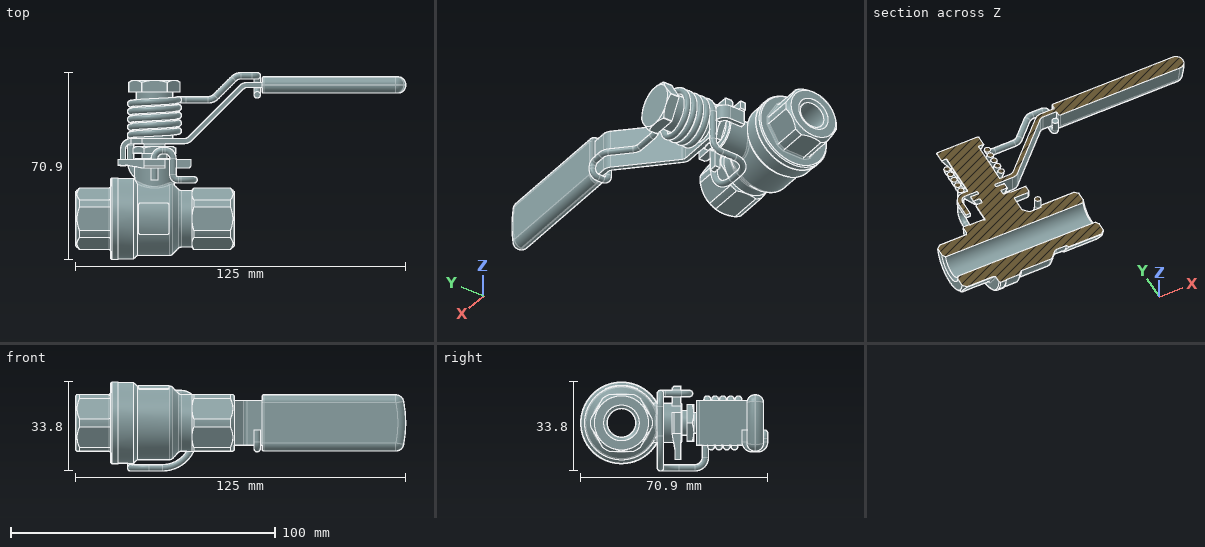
import cadquery as cq
import math


INLET_X = -29.9
FLANGE_X = -16.6
FLANGE_STEP_X = -13.8
FLANGE_END_X = -8.0
BARREL_X = -6.5
BARREL_END_X = 6.4
NECK_X = 9.5
OUTLET_HEX_X = 14.1
OUTLET_X = 30.2
FLANGE_DIA = 31.0
FLANGE_STEP_DIA = 30.6
FLANGE_CHAMFER = 0.5
BARREL_DIA = 28.0
SHOULDER_ROUND = 1.5
NECK_DIA = 21.5
BORE_DIA = 10.8
BORE_MOUTH_DIA = 13.5
BORE_MOUTH_DEPTH = 0.9
END_HEX_FLATS = 21.6
END_HEX_CORNER_DIA = 23.4
END_HEX_FACE_DIA = 20.5
END_HEX_CHAMFER = 1.5
OUTLET_HEX_BACK_CHAMFER = 0.8
INLET_HEX_FILLET = 0.6
SELECT_MARGIN = 0.1
PAD_X = -0.2
PAD_LENGTH = 11.5
PAD_WIDTH = 12.0
PAD_HEIGHT = 0.2
PAD_CORNER = 0.8

TOWER_DIA = 15.0
TOWER_TOP = 22.9
TOWER_CHAMFER = 0.4
TOWER_FILLET = 0.8
NUT_SEAT_DIA = 9.5
NUT_BOTTOM = 24.8
NUT_TOP = 27.4
NUT_FLATS = 14.0
STEM_DIA = 8.0
SPOOL_DIA = 14.0
HEAD_BOTTOM = 47.9
HEAD_TOP = 52.4
HEAD_FLATS = 17.0
CORNER_CONE_ANGLE = 30
HEAD_CORNER_DIA = 19.5

PLATE_TOP = 22.5
PLATE_THICKNESS = 3.4
ARM_REACH = 13.9
WIDE_ARM_WIDTH = 8.0
WIDE_ARM_CHAMFER = 0.8
STOP_ARM_TIP_THICKNESS = 2.2
STOP_ARM_INNER = 3.0
STOP_ARM_OUTER = 6.4
STOP_ARM_TAPER_END = 10.5
STOP_ARM_TAPER_START = 4.0
WIRE_HOLE_DIA = 3.0

LEVER_THICKNESS = 2.0
LEVER_WIDTH = 17.0
LEVER_BOTTOM = 28.4
LEVER_TOP = LEVER_BOTTOM + LEVER_THICKNESS
LEVER_RISE = 21.2
LEVER_BEND_ANGLE = 45
LEVER_BEND_X = 12.1
LEVER_INNER_BEND = 2.0
LEVER_OUTER_BEND = LEVER_INNER_BEND + LEVER_THICKNESS
SHOULDER_X = -4.8
TAB_WIDTH = 6.0
TAB_ROOT_X = -8.9
TAB_OUTER_RADIUS = 4.0
TAB_BOTTOM = 20.0

GRIP_X = 40.8
GRIP_END_X = 95.1
GRIP_CROWN = 1.4
GRIP_WIDTH = 21.4
GRIP_THICKNESS = 6.2
GRIP_ROUND = 3.0
GRIP_CORNER = 3.1
GRIP_MOUTH_ROUND = 0.6

WIRE_DIA = 2.5
COIL_RADIUS = 9.0
COIL_TURNS = 4.5
COIL_GAP = 0.1
COIL_START_Y = LEVER_TOP + COIL_GAP + WIRE_DIA / 2
COIL_END_Y = 45.0
LOOP_LOW_Z = -17.0
LOOP_HIGH_Z = 11.1
LOOP_Y = 14.8
LOOP_X = 15.0
U_BEND_X = 7.0
U_BEND_TOP = 25.8
LOOP_BENDS = (4.0, 7.0, 12.0, 5.0, 2.0, 3.0, 3.0)
ARM_START_X = 9.0
ARM_Z = -3.9
ARM_KICK_X = 22.0
ARM_TOP_Y = 54.1
HOOK_X = 38.9
HOOK_EDGE_Z = -9.8
HOOK_BOTTOM_Y = 46.9
HOOK_TIP_Z = -2.6
ARM_BENDS = (3.0, 4.0, 4.0, 2.0, 2.5, 2.5)


def along_x(x, dia, length):
    """Cylinder about the flow axis, starting at x."""
    return cq.Workplane("YZ", origin=(x, 0, 0)).circle(dia / 2).extrude(length)


def along_y(dia, bottom, top):
    """Cylinder about the stem axis between two heights."""
    return cq.Workplane("XZ", origin=(0, bottom, 0)).circle(dia / 2).extrude(bottom - top)


def hexagon_along_y(flats, bottom, top):
    """Hexagon about the stem axis, corners on X, its top corners turned to a cone."""
    corner_radius = flats / math.sqrt(3)
    flat_radius = flats / 2
    plane = cq.Workplane("XZ", origin=(0, bottom, 0))
    prism = plane.polygon(6, 2 * corner_radius).extrude(bottom - top)
    drop = (corner_radius - flat_radius) * math.tan(math.radians(CORNER_CONE_ANGLE))
    half_section = [
        (0, bottom),
        (corner_radius, bottom),
        (corner_radius, top - drop),
        (flat_radius, top),
        (0, top),
    ]
    turned = cq.Workplane("XY").polyline(half_section).close().revolve(360, (0, 0), (0, 1))
    return prism.intersect(turned)


def end_hexagon(start, end):
    """Hexagonal prism about X with flats on +Z and -Z, and the cylinder that rounds its corners."""
    across_corners = END_HEX_FLATS * 2 / math.sqrt(3)
    prism = cq.Workplane("YZ", origin=(start, 0, 0)).polygon(6, across_corners).extrude(end - start)
    return prism, along_x(start, END_HEX_CORNER_DIA, end - start)


def inlet_hexagon():
    prism, turned = end_hexagon(INLET_X, FLANGE_X)
    face_drop = (END_HEX_CORNER_DIA - END_HEX_FACE_DIA) / 2
    return prism.intersect(turned.faces("<X").chamfer(END_HEX_CHAMFER, face_drop))


def outlet_hexagon():
    prism, turned = end_hexagon(OUTLET_HEX_X, OUTLET_X)
    face_drop = (END_HEX_CORNER_DIA - END_HEX_FACE_DIA) / 2
    back_drop = (END_HEX_CORNER_DIA - NECK_DIA) / 2
    turned = turned.faces(">X").chamfer(END_HEX_CHAMFER, face_drop)
    return prism.intersect(turned.faces("<X").chamfer(OUTLET_HEX_BACK_CHAMFER, back_drop))


def make_barrel():
    """Flange, barrel and neck, with the tower rising from the barrel."""
    flange_radius = FLANGE_DIA / 2
    profile = [
        (FLANGE_X, 0),
        (FLANGE_X, flange_radius - FLANGE_CHAMFER),
        (FLANGE_X + FLANGE_CHAMFER, flange_radius),
        (FLANGE_STEP_X, flange_radius),
        (FLANGE_STEP_X, FLANGE_STEP_DIA / 2),
        (FLANGE_END_X, FLANGE_STEP_DIA / 2),
        (BARREL_X, BARREL_DIA / 2),
        (BARREL_END_X, BARREL_DIA / 2),
        (NECK_X, NECK_DIA / 2),
        (OUTLET_HEX_X, NECK_DIA / 2),
        (OUTLET_HEX_X, 0),
    ]
    barrel = cq.Workplane("XY").polyline(profile).close().revolve(360, (0, 0), (1, 0))
    for edge_x in (BARREL_END_X, NECK_X):
        barrel = barrel.edges(cq.NearestToPointSelector((edge_x, 0, 0))).fillet(SHOULDER_ROUND)
    tower = along_y(TOWER_DIA, 0, TOWER_TOP).faces(">Y").chamfer(TOWER_CHAMFER)
    barrel = barrel.union(tower)
    barrel_radius = BARREL_DIA / 2
    foot = cq.selectors.BoxSelector(
        (BARREL_X / 2, 0, -barrel_radius), (BARREL_END_X / 2, barrel_radius, barrel_radius)
    )
    return barrel.edges(foot).fillet(TOWER_FILLET)


def make_housing():
    housing = make_barrel().union(inlet_hexagon())
    near = SELECT_MARGIN
    reach = END_HEX_CORNER_DIA / 2 + near
    joint = cq.selectors.BoxSelector(
        (FLANGE_X - near, -reach, -reach), (FLANGE_X + near, reach, reach), boundingbox=True
    )
    housing = housing.edges(joint).fillet(INLET_HEX_FILLET)
    return housing.union(outlet_hexagon()).union(label_pad())


def label_pad():
    pad = (
        cq.Workplane("XY")
        .center(PAD_X, 0)
        .rect(PAD_LENGTH, PAD_WIDTH)
        .extrude(BARREL_DIA)
        .edges("|Z")
        .fillet(PAD_CORNER)
    )
    return pad.intersect(along_x(-PAD_LENGTH, BARREL_DIA + 2 * PAD_HEIGHT, 2 * PAD_LENGTH))


def cut_bore(body):
    body = body.cut(along_x(INLET_X, BORE_DIA, OUTLET_X - INLET_X))
    for face_x, inward in ((INLET_X, 1), (OUTLET_X, -1)):
        mouth = cq.Solid.makeCone(
            BORE_MOUTH_DIA / 2,
            BORE_DIA / 2,
            BORE_MOUTH_DEPTH,
            cq.Vector(face_x, 0, 0),
            cq.Vector(inward, 0, 0),
        )
        body = body.cut(cq.Workplane(mouth))
    return body


def make_stem():
    stem = along_y(NUT_SEAT_DIA, 0, NUT_BOTTOM)
    stem = stem.union(hexagon_along_y(NUT_FLATS, NUT_BOTTOM, NUT_TOP))
    stem = stem.union(along_y(STEM_DIA, NUT_BOTTOM, LEVER_TOP))
    stem = stem.union(along_y(SPOOL_DIA, LEVER_TOP, HEAD_BOTTOM))
    head = hexagon_along_y(HEAD_FLATS, HEAD_BOTTOM, HEAD_TOP)
    return stem.union(head.intersect(along_y(HEAD_CORNER_DIA, HEAD_BOTTOM, HEAD_TOP)))


def wide_arm():
    """Arm along +X with its lower outer edge chamfered."""
    return (
        cq.Workplane("XY")
        .box(ARM_REACH, PLATE_THICKNESS, WIDE_ARM_WIDTH, centered=(False, False, True))
        .translate((0, PLATE_TOP - PLATE_THICKNESS, 0))
        .edges(">X and <Y")
        .chamfer(WIDE_ARM_CHAMFER)
    )


def stop_arm():
    """Arm along -X, beside the lever tab, thinner towards its tip."""
    plate_bottom = PLATE_TOP - PLATE_THICKNESS
    tip_bottom = PLATE_TOP - STOP_ARM_TIP_THICKNESS
    return (
        cq.Workplane("XY", origin=(0, 0, STOP_ARM_INNER))
        .polyline(
            [
                (0, PLATE_TOP),
                (-ARM_REACH, PLATE_TOP),
                (-ARM_REACH, tip_bottom),
                (-STOP_ARM_TAPER_END, tip_bottom),
                (-STOP_ARM_TAPER_START, plate_bottom),
                (0, plate_bottom),
            ]
        )
        .close()
        .extrude(STOP_ARM_OUTER - STOP_ARM_INNER)
    )


def make_stop_plate():
    arm = wide_arm()
    upper_arm = arm.rotate((0, 0, 0), (0, 1, 0), -90)
    wire_hole = along_y(WIRE_HOLE_DIA, 0, HEAD_TOP).translate((0, 0, LOOP_HIGH_Z))
    first_stop = stop_arm()
    second_stop = first_stop.mirror("XY").rotate((0, 0, 0), (0, 1, 0), -90)
    return arm.union(upper_arm.cut(wire_hole)).union(first_stop).union(second_stop)


def make_lever():
    half_width = LEVER_WIDTH / 2
    mitre = LEVER_THICKNESS * math.tan(math.radians(LEVER_BEND_ANGLE / 2))
    upper_bend_x = LEVER_BEND_X + LEVER_RISE / math.tan(math.radians(LEVER_BEND_ANGLE))
    strip = (
        cq.Workplane("XY", origin=(0, 0, -half_width))
        .polyline(
            [
                (TAB_ROOT_X, LEVER_TOP),
                (LEVER_BEND_X, LEVER_TOP),
                (upper_bend_x, LEVER_TOP + LEVER_RISE),
                (GRIP_X + GRIP_THICKNESS, LEVER_TOP + LEVER_RISE),
                (GRIP_X + GRIP_THICKNESS, LEVER_BOTTOM + LEVER_RISE),
                (upper_bend_x + mitre, LEVER_BOTTOM + LEVER_RISE),
                (LEVER_BEND_X + mitre, LEVER_BOTTOM),
                (TAB_ROOT_X, LEVER_BOTTOM),
            ]
        )
        .close()
        .extrude(LEVER_WIDTH)
    )
    bends = (
        (LEVER_BEND_X, LEVER_TOP, LEVER_INNER_BEND),
        (LEVER_BEND_X + mitre, LEVER_BOTTOM, LEVER_OUTER_BEND),
        (upper_bend_x, LEVER_TOP + LEVER_RISE, LEVER_OUTER_BEND),
        (upper_bend_x + mitre, LEVER_BOTTOM + LEVER_RISE, LEVER_INNER_BEND),
    )
    for bend_x, bend_y, radius in bends:
        strip = strip.edges(cq.NearestToPointSelector((bend_x, bend_y, 0))).fillet(radius)
    for side in (1, -1):
        corner = (
            cq.Workplane("XZ")
            .polyline(
                [
                    (SHOULDER_X, side * half_width),
                    (TAB_ROOT_X, side * TAB_WIDTH / 2),
                    (TAB_ROOT_X, side * half_width),
                ]
            )
            .close()
            .extrude(-HEAD_TOP)
        )
        strip = strip.cut(corner)
    return strip.union(lever_tab())


def lever_tab():
    """Narrow end of the lever, bent down beside the stop plate."""
    outer_x = TAB_ROOT_X - TAB_OUTER_RADIUS
    inner_radius = TAB_OUTER_RADIUS - LEVER_THICKNESS
    bend_y = LEVER_TOP - TAB_OUTER_RADIUS
    return (
        cq.Workplane("XY", origin=(0, 0, -TAB_WIDTH / 2))
        .moveTo(TAB_ROOT_X, LEVER_TOP)
        .radiusArc((outer_x, bend_y), -TAB_OUTER_RADIUS)
        .lineTo(outer_x, TAB_BOTTOM)
        .lineTo(outer_x + LEVER_THICKNESS, TAB_BOTTOM)
        .lineTo(outer_x + LEVER_THICKNESS, bend_y)
        .radiusArc((TAB_ROOT_X, bend_y + inner_radius), inner_radius)
        .close()
        .extrude(TAB_WIDTH)
    )


def make_grip():
    half_width = GRIP_WIDTH / 2
    middle_y = LEVER_BOTTOM + LEVER_THICKNESS / 2 + LEVER_RISE
    corner_x = GRIP_END_X - GRIP_CROWN
    grip = (
        cq.Workplane("XZ", origin=(0, middle_y + GRIP_THICKNESS / 2, 0))
        .moveTo(GRIP_X, -half_width)
        .lineTo(corner_x, -half_width)
        .threePointArc((GRIP_END_X, 0), (corner_x, half_width))
        .lineTo(GRIP_X, half_width)
        .close()
        .extrude(GRIP_THICKNESS)
    )
    grip = grip.edges("|Y").edges(">X").fillet(GRIP_CORNER)
    grip = grip.faces(">Y or <Y").edges("not <X").fillet(GRIP_ROUND)
    return grip.faces("<X").edges().fillet(GRIP_MOUTH_ROUND)


def wire_path(points, bend_radii):
    """Edges through the points, each inner corner rounded to its bend radius."""
    corners = [cq.Vector(*point) for point in points]
    edges = []
    start = corners[0]
    for before, corner, after, radius in zip(corners, corners[1:], corners[2:], bend_radii):
        back = (before - corner).normalized()
        ahead = (after - corner).normalized()
        half_angle = back.getAngle(ahead) / 2
        setback = radius / math.tan(half_angle)
        to_arc = radius / math.sin(half_angle) - radius
        bend_start = corner + back * setback
        bend_end = corner + ahead * setback
        bend_middle = corner + (back + ahead).normalized() * to_arc
        edges.append(cq.Edge.makeLine(start, bend_start))
        edges.append(cq.Edge.makeThreePointArc(bend_start, bend_middle, bend_end))
        start = bend_end
    edges.append(cq.Edge.makeLine(start, corners[-1]))
    return edges


def rod(edges):
    """Round wire swept along a smooth chain of edges."""
    path = cq.Wire.assembleEdges(edges)
    section = cq.Plane(origin=edges[0].startPoint(), normal=edges[0].tangentAt(0))
    return cq.Workplane(section).circle(WIRE_DIA / 2).sweep(cq.Workplane(path))


def make_coil():
    height = COIL_END_Y - COIL_START_Y
    helix = cq.Wire.makeHelix(height / COIL_TURNS, height, COIL_RADIUS)
    section = cq.Workplane("XZ").center(COIL_RADIUS, 0).circle(WIRE_DIA / 2)
    coil = section.sweep(cq.Workplane(helix), isFrenet=True)
    coil = coil.rotate((0, 0, 0), (1, 0, 0), -90).rotate((0, 0, 0), (0, 1, 0), 180)
    return coil.translate((0, COIL_START_Y, 0))


def make_spring():
    """Return spring: loop through the stop plate, coil round the spool, arm hooked under the lever."""
    loop = wire_path(
        [
            (-COIL_RADIUS, COIL_START_Y, 0),
            (-COIL_RADIUS, COIL_START_Y, LOOP_LOW_Z),
            (-COIL_RADIUS, LOOP_Y, LOOP_LOW_Z),
            (LOOP_X, LOOP_Y, LOOP_LOW_Z),
            (LOOP_X, LOOP_Y, LOOP_HIGH_Z),
            (U_BEND_X, LOOP_Y, LOOP_HIGH_Z),
            (U_BEND_X, U_BEND_TOP, LOOP_HIGH_Z),
            (0, U_BEND_TOP, LOOP_HIGH_Z),
            (0, LOOP_Y, LOOP_HIGH_Z),
        ],
        LOOP_BENDS,
    )
    arm = wire_path(
        [
            (ARM_START_X, COIL_END_Y, 0),
            (ARM_START_X, COIL_END_Y, ARM_Z),
            (ARM_KICK_X, COIL_END_Y, ARM_Z),
            (ARM_KICK_X + ARM_TOP_Y - COIL_END_Y, ARM_TOP_Y, ARM_Z),
            (HOOK_X, ARM_TOP_Y, ARM_Z),
            (HOOK_X, ARM_TOP_Y, HOOK_EDGE_Z),
            (HOOK_X, HOOK_BOTTOM_Y, HOOK_EDGE_Z),
            (HOOK_X, HOOK_BOTTOM_Y, HOOK_TIP_Z),
        ],
        ARM_BENDS,
    )
    return rod(loop).union(make_coil()).union(rod(arm))


def make_valve():
    """Housing, stop plate, stem, lever and grip as one body, bored through along X."""
    valve = make_housing().union(make_stop_plate()).union(make_stem())
    return cut_bore(valve.union(make_lever()).union(make_grip()))


valve = make_valve()
spring = make_spring()
result = cq.Compound.makeCompound([valve.val(), spring.val()])